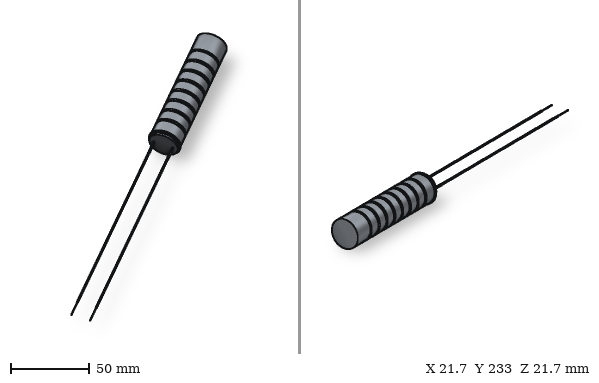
import cadquery as cq

overall_length = 233.0

housing_diameter = 20.7
housing_length = 83.0
groove_floor_diameter = 19.5
groove_count = 8
groove_width = 1.9
first_groove_width = 1.5
groove_span = 59.0
groove_pitch = groove_span / (groove_count - 1)
first_groove_offset = 13.8

flange_diameter = 21.7
flange_thickness = 1.5
boss_diameter = 19.5
boss_length = 1.6

lead_spacing = 12.8
sleeve_diameter = 1.2
sleeve_length = 9.5
insulation_diameter = 1.0
conductor_diameter = 0.5
bare_length = 11.0

closed_end_y = overall_length / 2
mouth_y = closed_end_y - housing_length
flange_outer_y = mouth_y - flange_thickness
boss_outer_y = flange_outer_y - boss_length
sleeve_end_y = boss_outer_y - sleeve_length
lead_tip_y = -overall_length / 2
insulation_end_y = lead_tip_y + bare_length


def cylinder(diameter, start_y, end_y, x=0.0):
    """Cylinder along Y from start_y up to end_y, centred on the given x."""
    plane = cq.Plane(origin=(x, start_y, 0), xDir=(0, 0, 1), normal=(0, 1, 0))
    return cq.Workplane(plane).circle(diameter / 2).extrude(end_y - start_y)


def make_groove(index):
    """V-shaped ring of material to remove for one groove, counted from the closed end."""
    width = first_groove_width if index == 0 else groove_width
    near_edge_y = closed_end_y - first_groove_offset - index * groove_pitch
    outer_radius = housing_diameter / 2
    return (
        cq.Workplane("XY")
        .moveTo(outer_radius, near_edge_y)
        .lineTo(groove_floor_diameter / 2, near_edge_y - width / 2)
        .lineTo(outer_radius, near_edge_y - width)
        .close()
        .revolve(360, (0, 0, 0), (0, 1, 0))
    )


def make_housing():
    body = cylinder(housing_diameter, mouth_y, closed_end_y)
    for index in range(groove_count):
        body = body.cut(make_groove(index))
    return body


def make_lead(x):
    """Stepped wire that leaves the boss face and runs to the bare tip."""
    sleeve = cylinder(sleeve_diameter, sleeve_end_y, boss_outer_y, x)
    insulated = cylinder(insulation_diameter, insulation_end_y, sleeve_end_y, x)
    bare = cylinder(conductor_diameter, lead_tip_y, insulation_end_y, x)
    return sleeve.union(insulated).union(bare)


def make_plug():
    """Flange, boss and both leads as one body."""
    flange = cylinder(flange_diameter, flange_outer_y, mouth_y)
    boss = cylinder(boss_diameter, boss_outer_y, flange_outer_y)
    body = flange.union(boss)
    for side in (-1, 1):
        body = body.union(make_lead(side * lead_spacing / 2))
    return body


housing = make_housing()
plug = make_plug()

result = cq.Compound.makeCompound([housing.val(), plug.val()])